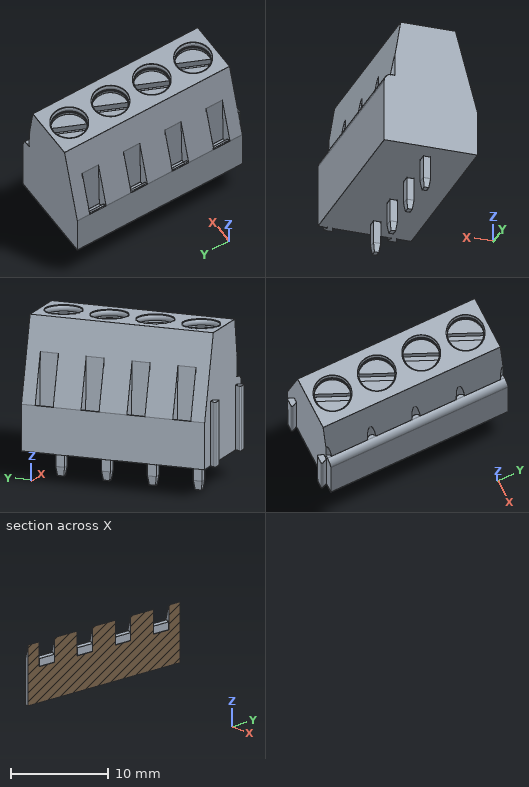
import cadquery as cq
import math

pole_count = 4
pitch = 5.08
length = pole_count * pitch
pole_positions = [(pole + 0.5) * pitch for pole in range(pole_count)]
pole_boundaries = [boundary * pitch for boundary in range(pole_count + 1)]

depth = 10.2
height = 14.0
back_wall_height = 5.0
top_back_x = 2.4
top_front_x = 8.4
ledge_x = 9.4
ledge_z = 7.7
ledge_round = depth - ledge_x

screw_x = (top_back_x + top_front_x) / 2
well_diameter = 4.0
bead_diameter = 3.72
bead_top = height - 0.1
bead_bottom = height - 0.7
well_step = height - 0.9

head_diameter = 3.9
head_top = height - 1.2
head_height = 2.0
head_bottom = head_top - head_height
slot_width = 0.8
slot_depth = 0.82
slot_angle = 24.0
shank_diameter = 2.6
shank_bottom = back_wall_height
pin_x = 4.8
pin_size_x = 0.8
pin_size_y = 1.0
tip_size_x = 0.5
tip_size_y = 0.7
tip_length = 1.0
pin_end = -3.5
tip_start = pin_end + tip_length

pocket_width = 2.0
pocket_top = 10.4
pocket_top_x = 1.44
pocket_floor_x = 1.27
pocket_floor = back_wall_height - 1.0
lip_flat_x = 0.14
lip_inner_x = 0.45
lip_drop = 0.15

notch_radius = 0.5
notch_x = ledge_x + 0.13

rib_spacing = 7.0
first_rib_x = 1.88
rib_positions = [first_rib_x, first_rib_x + rib_spacing]
rib_height = 6.9
rib_projection = 0.68
rib_root_width = 0.54
rib_outer_width = 1.16
rib_round = 0.13


def housing_block():
    """Side profile swept along the row of poles."""
    arc_offset = ledge_round * math.sqrt(0.5)
    arc_centre_z = ledge_z - ledge_round
    return (
        cq.Workplane("XZ")
        .lineTo(0, back_wall_height)
        .lineTo(top_back_x, height)
        .lineTo(top_front_x, height)
        .lineTo(ledge_x, ledge_z)
        .threePointArc((ledge_x + arc_offset, arc_centre_z + arc_offset), (depth, arc_centre_z))
        .lineTo(depth, 0)
        .close()
        .extrude(-length)
    )


def rib(x):
    """Dovetail rib, wider at its outer face, with rounded outer corners."""
    root = rib_root_width / 2
    outer = rib_outer_width / 2
    return (
        cq.Workplane("XY")
        .polyline([(x - root, 0), (x - outer, -rib_projection), (x + outer, -rib_projection), (x + root, 0)])
        .close()
        .extrude(rib_height)
        .edges("|Z and <Y")
        .fillet(rib_round)
    )


def well(y):
    """Screw well with a shallow bead below its rim, stepping in to fit the screw head."""
    well_radius = well_diameter / 2
    bead_middle = (bead_top + bead_bottom) / 2
    return (
        cq.Workplane("XZ")
        .moveTo(0, head_bottom)
        .lineTo(head_diameter / 2, head_bottom)
        .lineTo(head_diameter / 2, well_step)
        .lineTo(well_radius, well_step)
        .lineTo(well_radius, bead_bottom)
        .threePointArc((bead_diameter / 2, bead_middle), (well_radius, bead_top))
        .lineTo(well_radius, height)
        .lineTo(0, height)
        .close()
        .revolve(360, (0, 0, 0), (0, 1, 0))
        .translate((screw_x, y, 0))
    )


def shank_and_pin(y):
    """Screw shank running down to the square solder pin with its tapered tip."""
    shank = (
        cq.Workplane("XY", origin=(screw_x, y, shank_bottom))
        .circle(shank_diameter / 2)
        .extrude(head_bottom - shank_bottom)
    )
    pin = (
        cq.Workplane("XY", origin=(pin_x, y, tip_start))
        .rect(pin_size_x, pin_size_y)
        .extrude(shank_bottom - tip_start)
    )
    tip = (
        cq.Workplane("XY", origin=(pin_x, y, tip_start))
        .rect(pin_size_x, pin_size_y)
        .workplane(offset=-tip_length)
        .rect(tip_size_x, tip_size_y)
        .loft()
    )
    return shank.union(pin).union(tip)


def pocket(y):
    """Pocket cut through the sloped back face, with a deeper well behind its lip."""
    return (
        cq.Workplane("XZ", origin=(0, y + pocket_width / 2, 0))
        .polyline([
            (0, back_wall_height),
            (lip_flat_x, back_wall_height),
            (lip_inner_x, back_wall_height - lip_drop),
            (lip_inner_x, pocket_floor),
            (pocket_floor_x, pocket_floor),
            (pocket_top_x, pocket_top),
            (0, pocket_top),
        ])
        .close()
        .extrude(pocket_width)
    )


def notch(y):
    """Vertical half-round notch standing on the ledge."""
    return cq.Workplane("XY", origin=(notch_x, y, ledge_z)).circle(notch_radius).extrude(height - ledge_z)


def make_housing():
    """Housing with its ribs, notches, pockets and the recesses that the terminals fill."""
    body = housing_block()
    for x in rib_positions:
        body = body.union(rib(x))
    for y in pole_boundaries:
        body = body.cut(notch(y))
    for y in pole_positions:
        body = body.cut(well(y)).cut(shank_and_pin(y)).cut(pocket(y))
    return body


def make_terminal(y):
    """Slotted screw with its solder pin."""
    head = cq.Workplane("XY", origin=(screw_x, y, head_bottom)).circle(head_diameter / 2).extrude(head_height)
    slot = (
        cq.Workplane("XY")
        .box(slot_width, 2 * head_diameter, slot_depth, centered=(True, True, False))
        .rotate((0, 0, 0), (0, 0, 1), -slot_angle)
        .translate((screw_x, y, head_top - slot_depth))
    )
    return head.cut(slot).union(shank_and_pin(y))


housing = make_housing()
terminals = [make_terminal(y) for y in pole_positions]

result = cq.Compound.makeCompound([housing.val(), *[terminal.val() for terminal in terminals]])